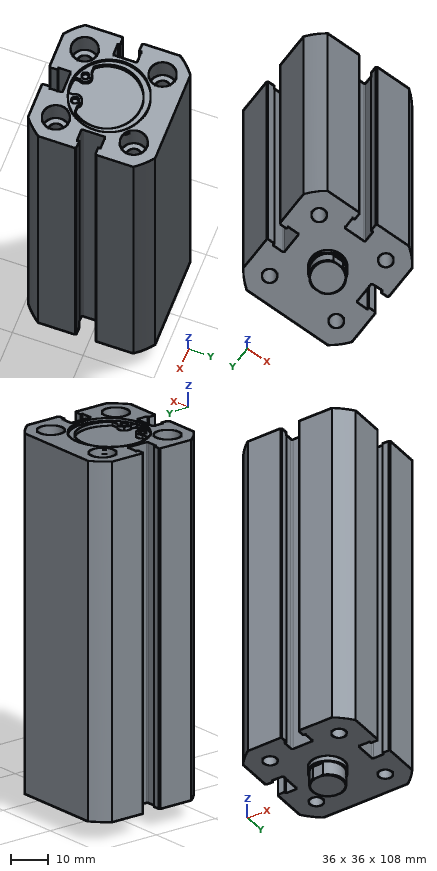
import cadquery as cq

TOTAL_LENGTH = 108.0
HOUSING_LENGTH = 102.0
HOUSING_WIDTH = 36.0
CORNER_RADIUS = 22.5
HALF_WIDTH = HOUSING_WIDTH / 2

SLOT_MOUTH_WIDTH = 5.4
SLOT_INNER_WIDTH = 6.7
SLOT_DEPTH = 5.9
SLOT_LIP = 2.4
SLOT_CHAMFER = 0.3
SLOT_FILLET = 0.3
SLOT_ANGLES = (0, 90, 270)

BOLT_SPACING = 22.0
BOLT_HOLE_DIAMETER = 4.1
COUNTERBORE_DIAMETER = 7.5
COUNTERBORE_DEPTH = 7.0

BORE_DIAMETER = 22.0
GROOVE_DIAMETER = 23.2
RING_RECESS = 0.8
RING_THICKNESS = 1.1
RING_INNER_RADIUS = 9.7
RING_INNER_OFFSET = -0.6
RING_END_Y = -7.0
RING_GAP = 5.0
EAR_RADIUS = 1.8
EAR_SPACING = 7.9
EAR_Y = -8.2
EAR_HOLE_DIAMETER = 2.0
COVER_THICKNESS = 3.2
RING_BOTTOM = HOUSING_LENGTH - RING_RECESS - RING_THICKNESS
COVER_BOTTOM = RING_BOTTOM - COVER_THICKNESS

COLLAR_DIAMETER = 10.6
COLLAR_HEIGHT = 1.6
ROD_DIAMETER = 9.8
ROD_LENGTH = TOTAL_LENGTH - HOUSING_LENGTH
ROD_CHAMFER = 0.2
ROD_FLAT_WIDTH = 9.3
ROD_FLAT_LENGTH = 4.1


def disc(diameter, height, bottom):
    """Cylinder about the Z axis, rising from the given height."""
    return cq.Workplane("XY").workplane(offset=bottom).circle(diameter / 2).extrude(height)


def make_slot_cutter():
    """T-slot with chamfered mouth, running the full length of the -Y side."""
    mouth = SLOT_MOUTH_WIDTH / 2
    inner = SLOT_INNER_WIDTH / 2
    outer_y = -HALF_WIDTH
    lip_y = outer_y + SLOT_LIP
    floor_y = outer_y + SLOT_DEPTH
    half_profile = [
        (0, outer_y),
        (mouth + SLOT_CHAMFER, outer_y),
        (mouth, outer_y + SLOT_CHAMFER),
        (mouth, lip_y),
        (inner, lip_y),
        (inner, floor_y),
        (0, floor_y),
    ]
    half_slot = cq.Workplane("XY").polyline(half_profile).close().extrude(HOUSING_LENGTH)
    slot = half_slot.union(half_slot.mirror("YZ"))
    floor_corners = cq.selectors.BoxSelector(
        (-HOUSING_WIDTH, floor_y - SLOT_FILLET, 0),
        (HOUSING_WIDTH, floor_y + SLOT_FILLET, HOUSING_LENGTH),
    )
    return slot.edges("|Z").edges(floor_corners).fillet(SLOT_FILLET)


def make_housing():
    """Square extrusion with rounded corners, T-slots, bolt holes, top bore and ring groove."""
    housing = cq.Workplane("XY").rect(HOUSING_WIDTH, HOUSING_WIDTH).extrude(HOUSING_LENGTH)
    housing = housing.intersect(disc(2 * CORNER_RADIUS, HOUSING_LENGTH, 0))

    slot = make_slot_cutter()
    for angle in SLOT_ANGLES:
        housing = housing.cut(slot.rotate((0, 0, 0), (0, 0, 1), angle))

    housing = (
        housing.faces(">Z").workplane(origin=(0, 0, HOUSING_LENGTH))
        .rect(BOLT_SPACING, BOLT_SPACING, forConstruction=True).vertices()
        .cboreHole(BOLT_HOLE_DIAMETER, COUNTERBORE_DIAMETER, COUNTERBORE_DEPTH)
    )
    bore = disc(BORE_DIAMETER, HOUSING_LENGTH - COVER_BOTTOM, COVER_BOTTOM)
    ring_groove = disc(GROOVE_DIAMETER, RING_THICKNESS, RING_BOTTOM)
    return housing.cut(bore).cut(ring_groove)


def make_retaining_ring():
    """Internal circlip: eccentric ring, open toward -Y, with a drilled ear at each end."""
    base = cq.Workplane("XY").workplane(offset=RING_BOTTOM)
    groove_radius = GROOVE_DIAMETER / 2

    opening = base.center(0, RING_INNER_OFFSET).circle(RING_INNER_RADIUS).extrude(RING_THICKNESS)
    above_ends = (
        base.center(0, RING_END_Y + groove_radius)
        .rect(GROOVE_DIAMETER, GROOVE_DIAMETER).extrude(RING_THICKNESS)
    )
    gap = base.center(0, -groove_radius / 2).rect(RING_GAP, groove_radius).extrude(RING_THICKNESS)
    ear_centers = [(-EAR_SPACING / 2, EAR_Y), (EAR_SPACING / 2, EAR_Y)]
    ears = base.pushPoints(ear_centers).circle(EAR_RADIUS).extrude(RING_THICKNESS)
    ear_holes = base.pushPoints(ear_centers).circle(EAR_HOLE_DIAMETER / 2).extrude(RING_THICKNESS)

    ring = disc(GROOVE_DIAMETER, RING_THICKNESS, RING_BOTTOM)
    return ring.cut(opening.intersect(above_ends)).cut(gap).union(ears).cut(ear_holes)


def make_end_cover():
    """Plain disc that closes the top bore under the retaining ring."""
    return disc(BORE_DIAMETER, COVER_THICKNESS, COVER_BOTTOM)


def make_collar():
    """Ring around the rod, against the bottom face of the housing."""
    collar = disc(COLLAR_DIAMETER, COLLAR_HEIGHT, -COLLAR_HEIGHT)
    return collar.cut(disc(ROD_DIAMETER, COLLAR_HEIGHT, -COLLAR_HEIGHT))


def make_rod():
    """Rod end with a chamfered tip and two wrench flats facing -Y and +Y."""
    rod = disc(ROD_DIAMETER, ROD_LENGTH, -ROD_LENGTH).faces("<Z").chamfer(ROD_CHAMFER)
    flat_zone = cq.Workplane("XY").workplane(offset=-ROD_LENGTH)
    flat_cutter = (
        flat_zone.rect(ROD_DIAMETER, 2 * ROD_DIAMETER).rect(ROD_DIAMETER, ROD_FLAT_WIDTH)
        .extrude(ROD_FLAT_LENGTH)
    )
    return rod.cut(flat_cutter)


housing = make_housing()
retaining_ring = make_retaining_ring()
end_cover = make_end_cover()
collar = make_collar()
rod = make_rod()

result = cq.Compound.makeCompound([
    housing.val(),
    retaining_ring.val(),
    end_cover.val(),
    collar.val(),
    rod.val(),
])